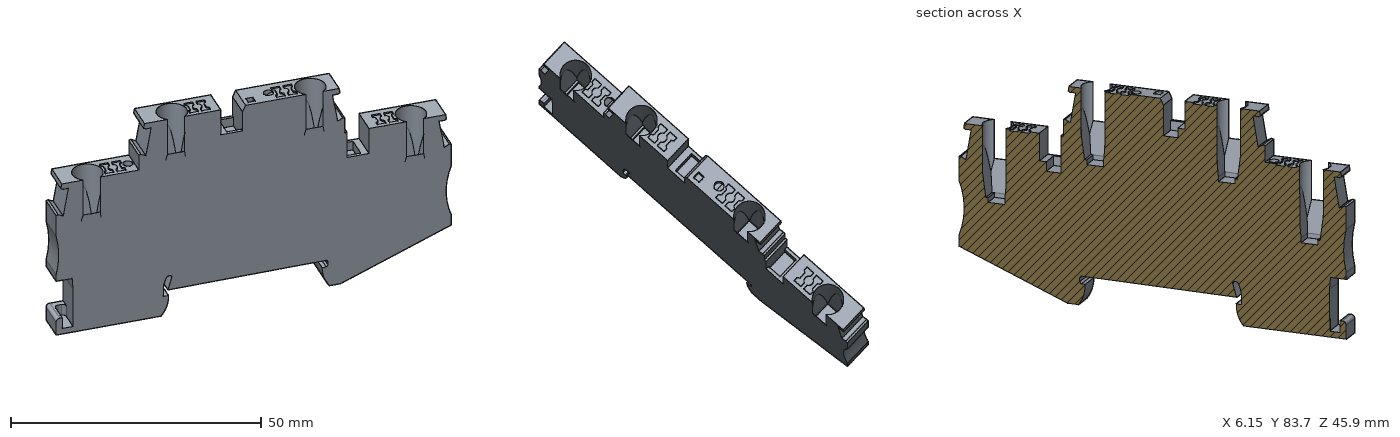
import cadquery as cq

WIDTH = 6.15
LENGTH = 83.65
HEIGHT = 45.85
HALF_WIDTH = WIDTH / 2
BACK_END = LENGTH / 2
FRONT_END = -LENGTH / 2

LOWER_TOP = 35.2
UPPER_TOP = HEIGHT
BACK_TIER_EDGE = BACK_END - 22.55
FRONT_TIER_EDGE = FRONT_END + 17.5

HOOK_OUTLINE = [
    (0.0, 7.2),
    (0.45, 7.05),
    (1.5, 7.6),
    (2.6, 1.3),
    (1.45, 1.3),
    (1.0, 1.05),
    (1.2, 0.0),
]

SLOT_WIDTH = 4.6
SLOT_DEPTH = 5.85
LOWER_SLOT_BACK = BACK_END - 17.45
UPPER_SLOT_BACK = BACK_END - 44.2
LOWER_SLOT_FRONT = LOWER_SLOT_BACK - SLOT_WIDTH
UPPER_SLOT_FRONT = UPPER_SLOT_BACK - SLOT_WIDTH
SLOT_BEVEL_RUN = 0.65
SLOT_BEVEL_DROP = 1.4
SLOT_POCKET_WIDTH = 4.75
SLOT_POCKET_LENGTH = 3.1
SLOT_POCKET_DEPTH = 2.0

BACK_GRIP_TOP = 23.0
BACK_GRIP_BOTTOM = 11.5
BACK_GRIP_SAG = 1.1
FRONT_GRIP_TOP = 23.2
FRONT_GRIP_BOTTOM = 14.2
FRONT_GRIP_SAG = 0.55

BACK_CORNER_Z = 9.1
BACK_FOOT_START = BACK_END - 23.5
BACK_FOOT_END = BACK_END - 25.85
BACK_FOOT_TIP = BACK_END - 27.35
BACK_UNDERCUT = BACK_END - 26.1
BACK_FOOT_BULGE = (BACK_END - 27.0, 2.2)
HOOK_Z = 4.55
SEAT_BACK_Z = 6.1
SEAT_FRONT_Z = 5.85
UNDERCUT_CORNER = 0.4
FRONT_SLIT_BACK = BACK_END - 60.0
FRONT_SLIT_FRONT = BACK_END - 60.95
SLIT_TOP_BACK = BACK_END - 59.15
SLIT_TOP_FRONT = BACK_END - 60.3
SLIT_SHOULDER_Z = 8.8
SLIT_TOP_Z = 9.15
SLIT_SIDE_BULGE = (BACK_END - 60.75, 7.6)
FRONT_FOOT_TIP = BACK_END - 59.85
FRONT_FOOT_END = BACK_END - 61.45
FRONT_FOOT_BULGE = (BACK_END - 60.45, 1.5)

NOTCH_BOTTOM = 3.83
NOTCH_TOP = 12.6
NOTCH_BEND_Z = 10.15
NOTCH_DEPTH = 3.58
NOTCH_TOP_DEPTH = 3.4
LIP_RADIUS = 0.8
LIP_THICKNESS = 1.3
NOTCH_POCKET_START_X = -1.8
NOTCH_POCKET_DEPTH = 2.5
NOTCH_POCKET_CORNER = 0.8

ENTRY_RADIUS = 3.15
ENTRY_X = 0.5
ENTRY_MOUTH_DEPTH = 5.0
ENTRY_TAPER_DEPTH = 10.0
ENTRY_FLOOR_WIDTH = 3.7
ENTRY_FLOOR_LENGTH = 4.0
ENTRY_FLOOR_SHIFT = 0.2
ENTRY_LEDGE = 0.5
ENTRY_WELL_DEPTH = 1.0

WINDOW_SHIFT = 5.45
WINDOW_X = 0.25
WINDOW_WIDTH = 3.8
WINDOW_LENGTH = 4.35
WINDOW_DEPTH = 0.3
WINDOW_BAR = 0.75
WINDOW_PIN_RADIUS = 0.95
WINDOW_NOTCH_HALF_OUTER = 1.05
WINDOW_NOTCH_HALF_INNER = 0.75
WINDOW_NOTCH_DEPTH = 0.5

TEST_HOLE_SHIFT = 8.7
TEST_HOLE_RADIUS = 1.0
TEST_HOLE_DEPTH = 1.2
TEST_HOLE_RIM_DEPTH = 0.2
SQUARE_SIZE = 1.5
SQUARE_X = 1.35
SQUARE_Y = -0.1
SQUARE_DEPTH = 1.0

TERMINALS = [
    (34.15, LOWER_TOP, -1, False),
    (12.85, UPPER_TOP, -1, True),
    (-16.45, UPPER_TOP, 1, False),
    (-34.3, LOWER_TOP, 1, True),
]


def hook_points(edge, top, inward):
    """Ledge, marker groove and lip, listed from the ledge up to the tier top."""
    return [(edge + inward * inset, top - drop) for inset, drop in HOOK_OUTLINE]


def box_between(x_range, y_range, z_range):
    """Box spanning the given (low, high) ranges."""
    (x0, x1), (y0, y1), (z0, z1) = x_range, y_range, z_range
    return cq.Workplane("XY").box(x1 - x0, y1 - y0, z1 - z0, centered=False).translate((x0, y0, z0))


def make_body():
    """Side outline in the YZ plane, extruded across the width."""
    notch_wall = FRONT_END + NOTCH_DEPTH
    outline = cq.Workplane("YZ").workplane(offset=-HALF_WIDTH)

    outline = outline.moveTo(BACK_FOOT_START, 0).lineTo(BACK_END, BACK_CORNER_Z)
    outline = outline.lineTo(BACK_END, BACK_GRIP_BOTTOM)
    back_grip_middle = (BACK_END - BACK_GRIP_SAG, (BACK_GRIP_TOP + BACK_GRIP_BOTTOM) / 2)
    outline = outline.threePointArc(back_grip_middle, (BACK_END, BACK_GRIP_TOP))
    for point in hook_points(BACK_END, LOWER_TOP, -1):
        outline = outline.lineTo(*point)
    outline = outline.lineTo(LOWER_SLOT_BACK, LOWER_TOP)
    outline = outline.lineTo(LOWER_SLOT_BACK, LOWER_TOP - SLOT_DEPTH)
    outline = outline.lineTo(LOWER_SLOT_FRONT, LOWER_TOP - SLOT_DEPTH)
    outline = outline.lineTo(LOWER_SLOT_FRONT, LOWER_TOP)

    outline = outline.lineTo(BACK_TIER_EDGE, LOWER_TOP)
    for point in hook_points(BACK_TIER_EDGE, UPPER_TOP, -1):
        outline = outline.lineTo(*point)
    outline = outline.lineTo(UPPER_SLOT_BACK + SLOT_BEVEL_RUN, UPPER_TOP)
    outline = outline.lineTo(UPPER_SLOT_BACK, UPPER_TOP - SLOT_BEVEL_DROP)
    outline = outline.lineTo(UPPER_SLOT_BACK, UPPER_TOP - SLOT_DEPTH)
    outline = outline.lineTo(UPPER_SLOT_FRONT, UPPER_TOP - SLOT_DEPTH)
    outline = outline.lineTo(UPPER_SLOT_FRONT, UPPER_TOP)
    for point in reversed(hook_points(FRONT_TIER_EDGE, UPPER_TOP, 1)):
        outline = outline.lineTo(*point)
    outline = outline.lineTo(FRONT_TIER_EDGE, LOWER_TOP)

    for point in reversed(hook_points(FRONT_END, LOWER_TOP, 1)):
        outline = outline.lineTo(*point)
    outline = outline.lineTo(FRONT_END, FRONT_GRIP_TOP)
    front_grip_middle = (FRONT_END + FRONT_GRIP_SAG, (FRONT_GRIP_TOP + FRONT_GRIP_BOTTOM) / 2)
    outline = outline.threePointArc(front_grip_middle, (FRONT_END, FRONT_GRIP_BOTTOM))
    outline = outline.lineTo(FRONT_END, NOTCH_TOP)
    outline = outline.lineTo(FRONT_END + NOTCH_TOP_DEPTH, NOTCH_TOP)
    outline = outline.lineTo(notch_wall, NOTCH_BEND_Z)
    outline = outline.lineTo(notch_wall, NOTCH_BOTTOM)
    outline = outline.lineTo(FRONT_END + LIP_RADIUS, NOTCH_BOTTOM)
    outline = outline.radiusArc((FRONT_END, NOTCH_BOTTOM - LIP_RADIUS), -LIP_RADIUS)
    outline = outline.lineTo(FRONT_END, 0)

    outline = outline.lineTo(FRONT_FOOT_END, 0)
    outline = outline.threePointArc(FRONT_FOOT_BULGE, (FRONT_FOOT_TIP, HOOK_Z))
    outline = outline.lineTo(FRONT_SLIT_FRONT, HOOK_Z)
    outline = outline.lineTo(FRONT_SLIT_FRONT, SEAT_BACK_Z)
    outline = outline.threePointArc(SLIT_SIDE_BULGE, (SLIT_TOP_FRONT, SLIT_SHOULDER_Z))
    slit_crown = ((SLIT_TOP_BACK + SLIT_TOP_FRONT) / 2, SLIT_TOP_Z)
    outline = outline.threePointArc(slit_crown, (SLIT_TOP_BACK, SLIT_SHOULDER_Z))
    outline = outline.lineTo(FRONT_SLIT_BACK, SEAT_FRONT_Z)
    outline = outline.lineTo(BACK_UNDERCUT - UNDERCUT_CORNER, SEAT_BACK_Z)
    outline = outline.lineTo(BACK_UNDERCUT, SEAT_BACK_Z - UNDERCUT_CORNER)
    outline = outline.lineTo(BACK_UNDERCUT, HOOK_Z + UNDERCUT_CORNER)
    outline = outline.lineTo(BACK_UNDERCUT - UNDERCUT_CORNER, HOOK_Z)
    outline = outline.lineTo(BACK_FOOT_TIP, HOOK_Z)
    outline = outline.threePointArc(BACK_FOOT_BULGE, (BACK_FOOT_END, 0))
    return outline.close().extrude(WIDTH)


def make_slot_pocket(y_low, slot_floor):
    """Rectangular pocket in the floor of a bridge slot."""
    half = SLOT_POCKET_WIDTH / 2
    y_range = (y_low, y_low + SLOT_POCKET_LENGTH)
    return box_between((-half, half), y_range, (slot_floor - SLOT_POCKET_DEPTH, slot_floor))


def make_notch_pocket():
    """Pocket behind the release lip, open to the +X side."""
    y_range = (FRONT_END + LIP_THICKNESS, FRONT_END + NOTCH_DEPTH)
    z_range = (NOTCH_BOTTOM - NOTCH_POCKET_DEPTH, NOTCH_BOTTOM)
    pocket = box_between((NOTCH_POCKET_START_X, HALF_WIDTH), y_range, z_range)
    return pocket.edges("|Z and <X").fillet(NOTCH_POCKET_CORNER)


def make_wire_entry(y, top, inward):
    """Round mouth, sloping sides down to a rectangular floor, and a well beyond a narrow ledge."""
    floor_y = y + inward * ENTRY_FLOOR_SHIFT
    floor_z = top - ENTRY_MOUTH_DEPTH - ENTRY_TAPER_DEPTH
    mouth_width = 2 * ENTRY_RADIUS
    cylinder = (
        cq.Workplane("XY", origin=(ENTRY_X, y, floor_z))
        .circle(ENTRY_RADIUS)
        .extrude(top - floor_z)
    )
    shaft = (
        cq.Workplane("XY", origin=(ENTRY_X, y, top - ENTRY_MOUTH_DEPTH))
        .rect(mouth_width, mouth_width)
        .extrude(ENTRY_MOUTH_DEPTH)
    )
    hopper = (
        cq.Workplane("XY", origin=(ENTRY_X, y, top - ENTRY_MOUTH_DEPTH))
        .rect(mouth_width, mouth_width)
        .workplane(offset=-ENTRY_TAPER_DEPTH)
        .center(-ENTRY_X, floor_y - y)
        .rect(ENTRY_FLOOR_WIDTH, ENTRY_FLOOR_LENGTH)
        .loft(ruled=True)
    )
    well = (
        cq.Workplane("XY", origin=(0, floor_y + inward * ENTRY_LEDGE / 2, floor_z))
        .rect(ENTRY_FLOOR_WIDTH, ENTRY_FLOOR_LENGTH - ENTRY_LEDGE)
        .extrude(-ENTRY_WELL_DEPTH)
    )
    return shaft.union(hopper).intersect(cylinder).union(well)


def make_contact_window(y, top):
    """Two shallow notched recesses either side of a bar with a round pin."""
    half_width = WINDOW_WIDTH / 2
    half_length = WINDOW_LENGTH / 2
    plane = cq.Workplane("XY", origin=(WINDOW_X, y, top))
    recess = (
        plane.moveTo(-half_width, -half_length)
        .lineTo(-WINDOW_NOTCH_HALF_OUTER, -half_length)
        .lineTo(-WINDOW_NOTCH_HALF_INNER, -half_length + WINDOW_NOTCH_DEPTH)
        .lineTo(WINDOW_NOTCH_HALF_INNER, -half_length + WINDOW_NOTCH_DEPTH)
        .lineTo(WINDOW_NOTCH_HALF_OUTER, -half_length)
        .lineTo(half_width, -half_length)
        .lineTo(half_width, 0)
        .lineTo(-half_width, 0)
        .close()
        .extrude(-WINDOW_DEPTH)
    )
    recess = recess.union(recess.mirror("XZ", (0, y, 0)))
    bar = plane.rect(WINDOW_WIDTH, WINDOW_BAR).extrude(-WINDOW_DEPTH)
    pin = plane.circle(WINDOW_PIN_RADIUS).extrude(-WINDOW_DEPTH)
    return recess.cut(bar).cut(pin)


def make_test_hole(y, top, inward):
    """Round hole whose outer half has a sloping floor."""
    hole = cq.Workplane("XY", origin=(0, y, top)).circle(TEST_HOLE_RADIUS).extrude(-TEST_HOLE_DEPTH)
    ramp = (
        cq.Workplane("YZ", origin=(-TEST_HOLE_RADIUS, y, top))
        .moveTo(0, -TEST_HOLE_DEPTH)
        .lineTo(-inward * TEST_HOLE_RADIUS, -TEST_HOLE_DEPTH)
        .lineTo(-inward * TEST_HOLE_RADIUS, -TEST_HOLE_RIM_DEPTH)
        .close()
        .extrude(2 * TEST_HOLE_RADIUS)
    )
    return hole.cut(ramp)


def make_square_recess():
    """Small square recess in the top of the upper tier."""
    plane = cq.Workplane("XY", origin=(SQUARE_X, SQUARE_Y, UPPER_TOP))
    return plane.rect(SQUARE_SIZE, SQUARE_SIZE).extrude(-SQUARE_DEPTH)


result = make_body()
result = result.cut(make_slot_pocket(LOWER_SLOT_FRONT, LOWER_TOP - SLOT_DEPTH))
result = result.cut(make_slot_pocket(UPPER_SLOT_BACK - SLOT_POCKET_LENGTH, UPPER_TOP - SLOT_DEPTH))
result = result.cut(make_notch_pocket())
result = result.cut(make_square_recess())
for entry_y, tier_top, toward_middle, has_test_hole in TERMINALS:
    result = result.cut(make_contact_window(entry_y + toward_middle * WINDOW_SHIFT, tier_top))
    result = result.cut(make_wire_entry(entry_y, tier_top, toward_middle))
    if has_test_hole:
        test_hole_y = entry_y + toward_middle * TEST_HOLE_SHIFT
        result = result.cut(make_test_hole(test_hole_y, tier_top, toward_middle))